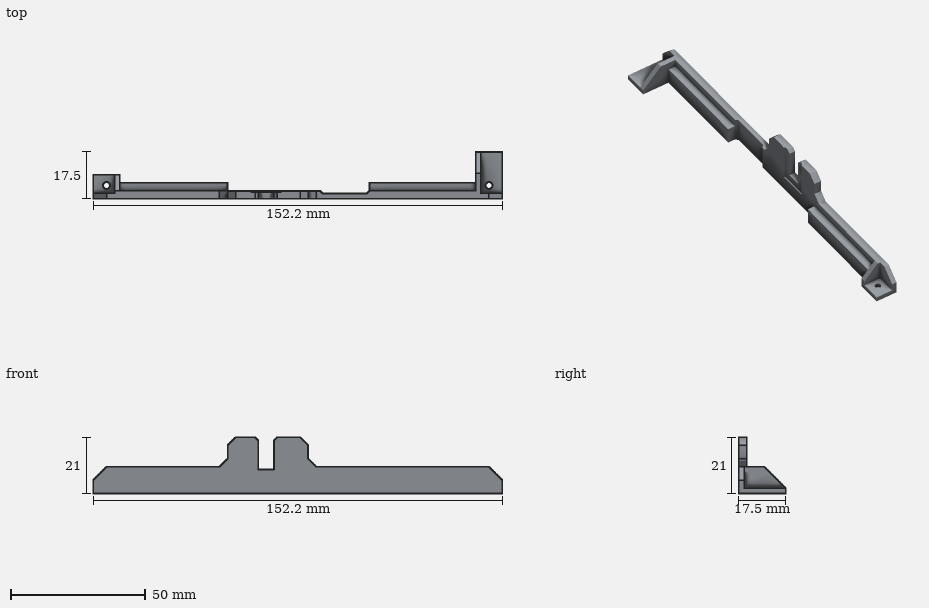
import cadquery as cq

rail_length = 152.25
rail_height = 10.0
rail_thickness = 3.0
end_chamfer = 5.0

part_height = 21.0
prongs_left = 50.0
prongs_right = 80.0
prong_outer_chamfer = 3.0
prong_inner_chamfer = 1.25
prong_root_flare = 3.0
slot_left = 61.5
slot_right = 67.25
slot_floor = 9.0

recess_margin = 3.0
recess_depth = 0.5

notch_left = 84.5
notch_right = 102.75
notch_depth = 1.0

ledge_back = 6.0
ledge_height = 6.75
left_ledge_end = 50.0
right_ledge_start = notch_right

tab_length = 10.0
tab_thickness = 2.0
gusset_thickness = 2.0
left_tab_depth = 9.0
left_gusset_edge = 4.0
right_tab_depth = 17.5
right_gusset_edge = 2.0
tab_wall_thickness = 2.0
hole_diameter = 2.5
hole_end_distance = 5.0
hole_y = 5.0


def box(x_range, y_range, z_range):
    """Axis-aligned box given by its (low, high) limits."""
    size = [high - low for low, high in (x_range, y_range, z_range)]
    return cq.Workplane("XY").box(*size, centered=False).translate((x_range[0], y_range[0], z_range[0]))


def make_rail():
    """Rail and prongs, extruded from their outline in XZ."""
    flare_top = rail_height + prong_root_flare
    outer_shoulder = part_height - prong_outer_chamfer
    inner_shoulder = part_height - prong_inner_chamfer
    outline = [
        (0, 0),
        (rail_length, 0),
        (rail_length, rail_height - end_chamfer),
        (rail_length - end_chamfer, rail_height),
        (prongs_right + prong_root_flare, rail_height),
        (prongs_right, flare_top),
        (prongs_right, outer_shoulder),
        (prongs_right - prong_outer_chamfer, part_height),
        (slot_right + prong_inner_chamfer, part_height),
        (slot_right, inner_shoulder),
        (slot_right, slot_floor),
        (slot_left, slot_floor),
        (slot_left, inner_shoulder),
        (slot_left - prong_inner_chamfer, part_height),
        (prongs_left + prong_outer_chamfer, part_height),
        (prongs_left, outer_shoulder),
        (prongs_left, flare_top),
        (prongs_left - prong_root_flare, rail_height),
        (end_chamfer, rail_height),
        (0, rail_height - end_chamfer),
    ]
    return cq.Workplane("XZ").polyline(outline).close().extrude(-rail_thickness)


def make_back_notch(x_start, x_end, depth, z_bottom, z_top):
    """Cutter for a notch in the back face whose ends slope at 45 degrees."""
    floor_y = rail_thickness - depth
    outline = [
        (x_start, rail_thickness),
        (x_start + depth, floor_y),
        (x_end - depth, floor_y),
        (x_end, rail_thickness),
    ]
    notch = cq.Workplane("XY").polyline(outline).close().extrude(z_top - z_bottom)
    return notch.translate((0, 0, z_bottom))


def make_ledge(x_start, x_end):
    """Ledge along the back of the rail, starting inside the rail."""
    return box((x_start, x_end), (tab_wall_thickness, ledge_back), (0, ledge_height))


def make_gusset(x_start, depth, edge_height):
    """Gusset across the rail, sloping at 45 degrees down to its back edge."""
    slope_run = rail_height - edge_height
    outline = [
        (tab_wall_thickness, 0),
        (depth, 0),
        (depth, edge_height),
        (depth - slope_run, rail_height),
        (tab_wall_thickness, rail_height),
    ]
    return cq.Workplane("YZ").polyline(outline).close().extrude(gusset_thickness).translate((x_start, 0, 0))


def make_tab_plate(x_start, depth):
    """Flat plate of a screw tab."""
    return box((x_start, x_start + tab_length), (0, depth), (0, tab_thickness))


def make_tab_pocket(x_start):
    """Cutter thinning the rail above the open floor of a tab."""
    floor_length = tab_length - gusset_thickness
    return box(
        (x_start, x_start + floor_length),
        (tab_wall_thickness, rail_thickness),
        (tab_thickness, rail_height),
    )


def make_hole(x):
    """Cutter for a screw hole through a tab plate."""
    return cq.Workplane("XY").center(x, hole_y).circle(hole_diameter / 2).extrude(tab_thickness)


right_tab_start = rail_length - tab_length
right_floor_start = right_tab_start + gusset_thickness

slot_recess = make_back_notch(
    slot_left - recess_margin,
    slot_right + recess_margin,
    recess_depth,
    slot_floor - recess_margin,
    part_height,
)
rail_notch = make_back_notch(notch_left, notch_right, notch_depth, 0, rail_height)
result = make_rail().cut(slot_recess).cut(rail_notch)

result = result.union(make_ledge(tab_length, left_ledge_end))
result = result.union(make_ledge(right_ledge_start, right_tab_start))

result = result.union(make_tab_plate(0, left_tab_depth))
result = result.union(make_tab_plate(right_tab_start, right_tab_depth))
result = result.union(make_gusset(tab_length - gusset_thickness, left_tab_depth, left_gusset_edge))
result = result.union(make_gusset(right_tab_start, right_tab_depth, right_gusset_edge))

for floor_start in (0, right_floor_start):
    result = result.cut(make_tab_pocket(floor_start))

for hole_x in (hole_end_distance, rail_length - hole_end_distance):
    result = result.cut(make_hole(hole_x))